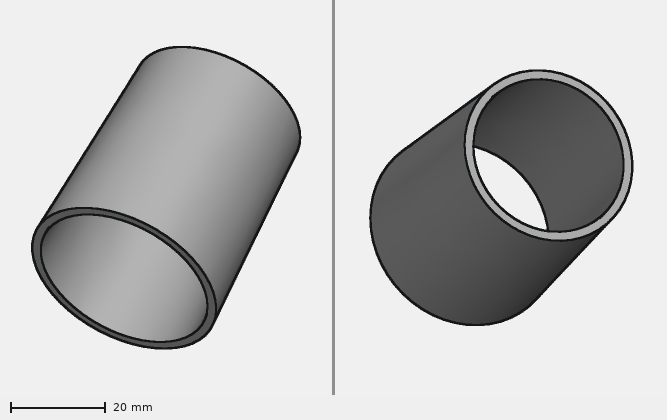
import cadquery as cq

length = 50.0
large_diameter = 42.4
small_diameter = 38.0
wall = 2.0

half_length = length / 2
large_radius = large_diameter / 2
small_radius = small_diameter / 2

wall_section = (
    cq.Workplane("XY")
    .moveTo(large_radius - wall, -half_length)
    .lineTo(large_radius, -half_length)
    .lineTo(small_radius, half_length)
    .lineTo(small_radius - wall, half_length)
    .close()
)

result = wall_section.revolve(360, (0, 0, 0), (0, 1, 0))